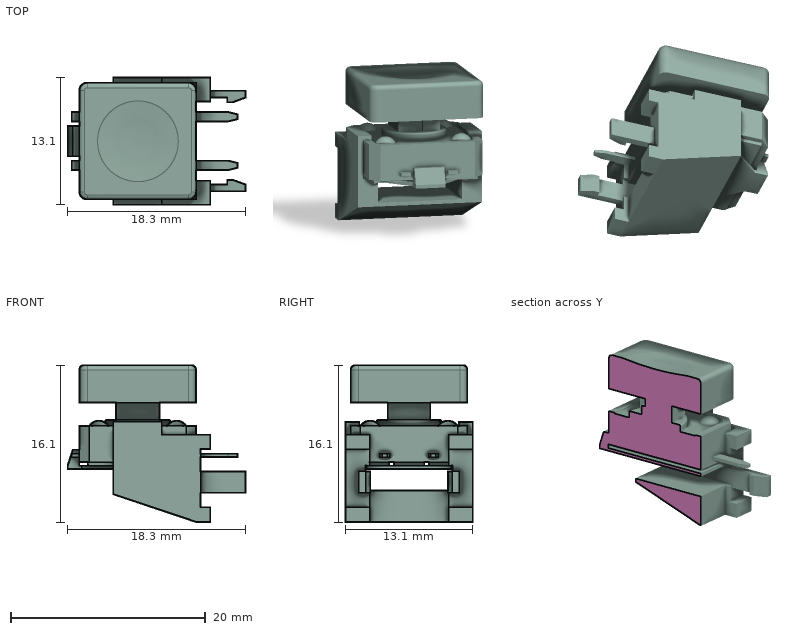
import cadquery as cq
import math


overall_length = 18.3

cap_width = 12.0
cap_top = 16.13
cap_height = 3.85
cap_bottom = cap_top - cap_height
cap_corner_radius = 0.8
cap_edge_radius = 0.5
dimple_diameter = 8.3
dimple_depth = 0.25

body_width = 12.0
body_half = body_width / 2
body_top = 9.87
body_bottom = 6.15
body_corner_chamfer = 1.0
recess_depth = 0.1
recess_rim = 0.8
recess_floor = body_top - recess_depth

rivet_pitch = 8.0
rivet_ball_diameter = 2.32
rivet_top = 10.42

collar_diameter = 6.7
collar_top = 10.5
collar_edge_radius = 0.2
stem_length = 4.5
stem_width = 4.4
groove_width = 0.8
groove_step_z = 11.48
groove_upper_depth = 1.0
groove_lower_depth = 0.5

base_length = 10.3
base_width = 11.0
base_bottom = 5.79
base_draft = 5.0
base_channel_width = 4.08
plate_thickness = 0.36
plate_bottom = base_bottom - plate_thickness
plate_half_width = 4.35
plate_neck_x = -5.77
tab_half_width = 1.57
tab_tip_x = -7.21
tab_crest_x = -6.66
tab_top = 7.45

pin_pitch = 5.0
pin_width = 1.0
pin_thickness = 0.37
pin_bottom = 6.67
pin_left_x = -6.78
pin_right_x = 10.28
pin_taper_length = 1.0
pin_tip_width = 0.5

bracket_half_width = 6.55
bracket_left_x = -2.53
bracket_back_x = 6.47
flange_x = 7.48
lip_right_x = 2.5
lip_top = 10.29
lip_half_gap = 5.11
shoulder_z = 8.99
upper_flange_bottom = 7.49
lower_flange_top = 1.54
slope_start_z = 2.86
slope_end_x = 6.0
window_half_width = 4.46
window_bottom = 3.26
flange_half_gap = 4.06

leg_top = 5.2
leg_bottom = 3.0
leg_outer_y = 5.18
leg_inner_y = window_half_width
leg_tip_x = tab_tip_x + overall_length
hook_y = 3.98
hook_left_x = 9.19
hook_flat_length = 0.58


def block(x_range, y_range, z_range):
    """Box given by its limits along each axis."""
    size = [high - low for low, high in (x_range, y_range, z_range)]
    corner = (x_range[0], y_range[0], z_range[0])
    return cq.Workplane("XY").box(*size, centered=False).translate(corner)


def prism(outline, bottom, top):
    """Plan outline raised from bottom to top."""
    return cq.Workplane("XY").workplane(offset=bottom).polyline(outline).close().extrude(top - bottom)


def side_prism(outline, half_width):
    """X-Z outline extruded symmetrically about the XZ plane."""
    return cq.Workplane("XZ").polyline(outline).close().extrude(half_width, both=True)


def make_cap():
    cap = cq.Workplane("XY").workplane(offset=cap_bottom).rect(cap_width, cap_width).extrude(cap_height)
    cap = cap.edges("|Z").fillet(cap_corner_radius)
    cap = cap.faces(">Z").edges().fillet(cap_edge_radius)
    dimple_radius = dimple_diameter / 2
    ball_radius = (dimple_radius**2 + dimple_depth**2) / (2 * dimple_depth)
    ball_center_z = cap_top - dimple_depth + ball_radius
    return cap.cut(cq.Workplane("XY").sphere(ball_radius).translate((0, 0, ball_center_z)))


def make_stem():
    left_x = -stem_length / 2
    half_width = stem_width / 2
    groove_y = (-groove_width / 2, groove_width / 2)
    stem = block((left_x, -left_x), (-half_width, half_width), (recess_floor, cap_bottom))
    upper_groove = block((left_x, left_x + groove_upper_depth), groove_y, (groove_step_z, cap_bottom))
    lower_groove = block((left_x, left_x + groove_lower_depth), groove_y, (collar_top, groove_step_z))
    return stem.cut(upper_groove).cut(lower_groove)


def make_collar():
    collar = cq.Workplane("XY").workplane(offset=recess_floor)
    collar = collar.circle(collar_diameter / 2).extrude(collar_top - recess_floor)
    return collar.faces(">Z").edges().fillet(collar_edge_radius)


def make_body():
    body = cq.Workplane("XY").workplane(offset=body_bottom)
    body = body.rect(body_width, body_width).extrude(body_top - body_bottom)
    body = body.edges("|Z").chamfer(body_corner_chamfer)

    recess_width = body_width - 2 * recess_rim
    recess_chamfer = body_corner_chamfer - recess_rim * (2 - math.sqrt(2))
    recess = cq.Workplane("XY").workplane(offset=recess_floor)
    recess = recess.rect(recess_width, recess_width).extrude(recess_depth)
    return body.cut(recess.edges("|Z").chamfer(recess_chamfer))


def make_rivets():
    ball_radius = rivet_ball_diameter / 2
    rivets = cq.Workplane("XY").workplane(offset=rivet_top - ball_radius)
    return rivets.rarray(rivet_pitch, rivet_pitch, 2, 2).sphere(ball_radius)


def make_base():
    base = cq.Workplane("XY").workplane(offset=body_bottom).rect(base_length, base_width)
    base = base.extrude(base_bottom - body_bottom, taper=base_draft)
    channel_half = base_channel_width / 2
    return base.cut(
        block((-body_half, body_half), (-channel_half, channel_half), (base_bottom, body_bottom))
    )


def make_spring_plate():
    plate = prism(
        [
            (tab_tip_x, -tab_half_width),
            (plate_neck_x, -tab_half_width),
            (bracket_left_x, -plate_half_width),
            (body_half, -plate_half_width),
            (body_half, plate_half_width),
            (bracket_left_x, plate_half_width),
            (plate_neck_x, tab_half_width),
            (tab_tip_x, tab_half_width),
        ],
        plate_bottom,
        base_bottom,
    )
    tab = side_prism(
        [
            (tab_tip_x, plate_bottom),
            (-body_half, plate_bottom),
            (-body_half, tab_top),
            (tab_crest_x, tab_top),
            (tab_tip_x, base_bottom),
        ],
        tab_half_width,
    )
    return plate.union(tab)


def make_pin(center_y):
    half = pin_width / 2
    tip_half = pin_tip_width / 2
    taper_x = pin_right_x - pin_taper_length
    outline = [
        (pin_left_x, -half),
        (taper_x, -half),
        (pin_right_x, -tip_half),
        (pin_right_x, tip_half),
        (taper_x, half),
        (pin_left_x, half),
    ]
    return prism(outline, pin_bottom, pin_bottom + pin_thickness).translate((0, center_y, 0))


def make_bracket():
    bracket = side_prism(
        [
            (bracket_left_x, slope_start_z),
            (slope_end_x, 0),
            (flange_x, 0),
            (flange_x, lower_flange_top),
            (bracket_back_x, lower_flange_top),
            (bracket_back_x, upper_flange_bottom),
            (flange_x, upper_flange_bottom),
            (flange_x, shoulder_z),
            (lip_right_x, shoulder_z),
            (lip_right_x, lip_top),
            (bracket_left_x, lip_top),
        ],
        bracket_half_width,
    )
    body_pocket = block(
        (bracket_left_x, body_half), (-body_half, body_half), (base_bottom, body_top)
    )
    lip_gap = block(
        (bracket_left_x, body_half), (-lip_half_gap, lip_half_gap), (body_top, lip_top)
    )
    window = block(
        (bracket_left_x, bracket_back_x),
        (-window_half_width, window_half_width),
        (window_bottom, base_bottom),
    )
    flange_gap = block((body_half, flange_x), (-flange_half_gap, flange_half_gap), (0, lip_top))
    return bracket.cut(body_pocket).cut(lip_gap).cut(window).cut(flange_gap)


def make_snap_leg():
    """Snap leg on the +Y side, with its hook turned toward the switch axis."""
    outline = [
        (bracket_back_x, leg_outer_y),
        (leg_tip_x, leg_outer_y),
        (leg_tip_x, leg_inner_y),
        (hook_left_x + hook_flat_length, hook_y),
        (hook_left_x, hook_y),
        (hook_left_x, leg_inner_y),
        (bracket_back_x, leg_inner_y),
    ]
    return prism(outline, leg_bottom, leg_top)


snap_leg = make_snap_leg()

result = make_body()
result = result.union(make_base()).union(make_spring_plate())
result = result.union(make_rivets())
result = result.union(make_collar()).union(make_stem()).union(make_cap())
for side in (-1, 1):
    result = result.union(make_pin(side * pin_pitch / 2))
result = result.union(make_bracket())
result = result.union(snap_leg).union(snap_leg.mirror("XZ"))